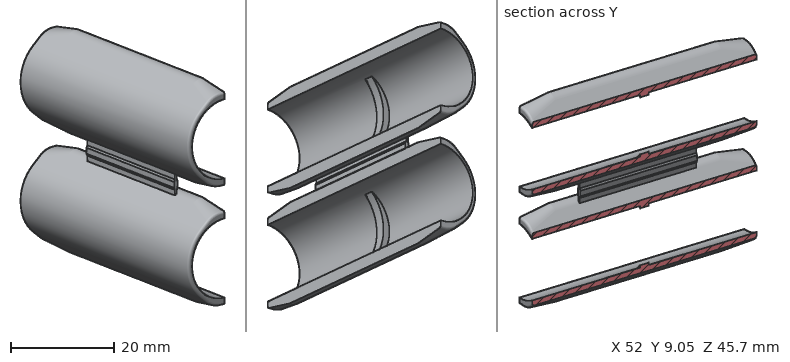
import cadquery as cq
import math

LENGTH = 52.0
OVERALL_HEIGHT = 45.72
OUTER_RADIUS = 9.05
BORE_RADIUS = 8.1
LIP_HALF_HEIGHT = 10.68
LIP_FLAT = 0.35
FLANK_ANGLE = math.radians(40.6)

TAPER_LENGTH = 6.8
END_LIP_HALF_HEIGHT = 9.5
END_LIP_FLAT = 0.95
END_FILLET = 0.5

STOP_THICKNESS = 2.0
STOP_RADIUS = 10.3
STOP_DEPTH = 6.6

BRIDGE_LENGTH = 27.0
BRIDGE_DEPTH = 2.0
WEB_THICKNESS = 0.5
BEAD_THICKNESS = 0.9
BEAD_HEIGHT = 2.13
BEAD_FLAT = 1.2
WEB_OVERLAP = 0.8

AXIS_OFFSET = OVERALL_HEIGHT / 2 - LIP_HALF_HEIGHT
MIDDLE_LENGTH = LENGTH - 2 * TAPER_LENGTH
LIP_GAP = 2 * (AXIS_OFFSET - LIP_HALF_HEIGHT)


def sleeve_section(x, lip_half_height, lip_flat):
    """Closed wire of a filled sleeve section in the plane at x, with its axis at Y = Z = 0."""
    sine = math.sin(FLANK_ANGLE)
    cosine = math.cos(FLANK_ANGLE)
    corner_radius = (OUTER_RADIUS - sine * lip_flat - cosine * lip_half_height) / (1 - cosine)
    corner_height = lip_half_height - corner_radius

    def corner_point(angle):
        return (
            -(lip_flat + corner_radius * math.sin(angle)),
            corner_height + corner_radius * math.cos(angle),
        )

    def mirrored(point):
        return (point[0], -point[1])

    corner_start = corner_point(0)
    corner_middle = corner_point(FLANK_ANGLE / 2)
    corner_end = corner_point(FLANK_ANGLE)
    back_start = (-OUTER_RADIUS * sine, OUTER_RADIUS * cosine)
    return (
        cq.Workplane("YZ", origin=(x, 0, 0))
        .moveTo(0, lip_half_height)
        .lineTo(*corner_start)
        .threePointArc(corner_middle, corner_end)
        .lineTo(*back_start)
        .threePointArc((-OUTER_RADIUS, 0), mirrored(back_start))
        .lineTo(*mirrored(corner_end))
        .threePointArc(mirrored(corner_middle), mirrored(corner_start))
        .lineTo(0, -lip_half_height)
        .close()
        .val()
    )


def tapered_end(side):
    """Filled end of a sleeve, narrowing towards x = side * LENGTH / 2, with a rounded rim."""
    inner = sleeve_section(side * MIDDLE_LENGTH / 2, LIP_HALF_HEIGHT, LIP_FLAT)
    outer = sleeve_section(side * LENGTH / 2, END_LIP_HALF_HEIGHT, END_LIP_FLAT)
    end = cq.Workplane(cq.Solid.makeLoft([inner, outer], True))
    end_face = ">X" if side > 0 else "<X"
    rim = end.faces(end_face).edges("not(>Y)")
    return end.newObject(rim.vals()).fillet(END_FILLET)


def x_cylinder(radius, length, y):
    return cq.Workplane("YZ", origin=(0, y, 0)).circle(radius).extrude(length / 2, both=True)


def sleeve():
    section = sleeve_section(-MIDDLE_LENGTH / 2, LIP_HALF_HEIGHT, LIP_FLAT)
    middle = cq.Workplane(cq.Solid.extrudeLinear(section, [], cq.Vector(MIDDLE_LENGTH, 0, 0)))
    body = middle.union(tapered_end(-1)).union(tapered_end(1))
    bore = x_cylinder(BORE_RADIUS, LENGTH, 0)
    stop = x_cylinder(BORE_RADIUS, STOP_THICKNESS, 0).cut(
        x_cylinder(STOP_RADIUS, STOP_THICKNESS, STOP_RADIUS - STOP_DEPTH)
    )
    return body.cut(bore.cut(stop))


def bridge():
    web_half = WEB_THICKNESS / 2
    bead_half = BEAD_THICKNESS / 2
    web = cq.Workplane("XY").box(BRIDGE_LENGTH, WEB_THICKNESS, LIP_GAP + 2 * WEB_OVERLAP)
    bead = (
        cq.Workplane("YZ")
        .polyline([
            (-web_half, BEAD_HEIGHT / 2),
            (-bead_half, BEAD_FLAT / 2),
            (-bead_half, -BEAD_FLAT / 2),
            (-web_half, -BEAD_HEIGHT / 2),
            (web_half, -BEAD_HEIGHT / 2),
            (bead_half, -BEAD_FLAT / 2),
            (bead_half, BEAD_FLAT / 2),
            (web_half, BEAD_HEIGHT / 2),
        ])
        .close()
        .extrude(BRIDGE_LENGTH / 2, both=True)
    )
    return web.union(bead).translate((0, -BRIDGE_DEPTH, 0))


upper_sleeve = sleeve().translate((0, 0, AXIS_OFFSET))
lower_sleeve = sleeve().translate((0, 0, -AXIS_OFFSET))
result = upper_sleeve.union(lower_sleeve).union(bridge())